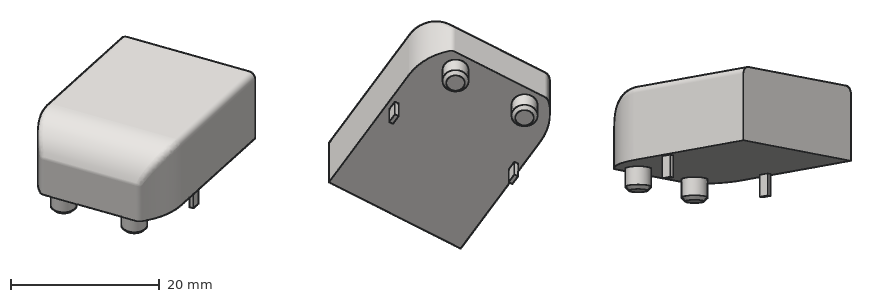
import cadquery as cq
import math

width = 20.8
length = 27.1
total_height = 13.2
pin_length = 3.0
body_height = total_height - pin_length
nose_length = 6.5
top_curve_radius = 6.95
side_curve_radius = 8.73
edge_radius = 1.0

peg_diameter = 3.52
peg_offset = 5.45
peg_setback = 2.55
peg_chamfer = 0.51

blade_thickness = 0.6
blade_width = 1.5
blade_offset = 9.43
blade_setback = 11.92

front_y = -length / 2
back_y = length / 2
nose_y = front_y + nose_length


def arc_drop(radius, distance):
    """How far an arc falls away from its tangent after a distance along it."""
    return radius - math.sqrt(radius**2 - distance**2)


def plan_block():
    """Housing outline from above: straight sides that curve in to a flat front."""
    side_x = width / 2
    front_x = side_x - arc_drop(side_curve_radius, nose_length)
    middle_y = nose_y - nose_length / 2
    middle_x = side_x - arc_drop(side_curve_radius, nose_length / 2)
    return (
        cq.Workplane("XY")
        .moveTo(-side_x, back_y)
        .lineTo(-side_x, nose_y)
        .threePointArc((-middle_x, middle_y), (-front_x, front_y))
        .lineTo(front_x, front_y)
        .threePointArc((middle_x, middle_y), (side_x, nose_y))
        .lineTo(side_x, back_y)
        .close()
        .extrude(body_height)
    )


def profile_block():
    """Housing outline from the side: flat top that curves down to the front."""
    front_z = body_height - arc_drop(top_curve_radius, nose_length)
    middle_y = nose_y - nose_length / 2
    middle_z = body_height - arc_drop(top_curve_radius, nose_length / 2)
    return (
        cq.Workplane("YZ")
        .moveTo(back_y, 0)
        .lineTo(back_y, body_height)
        .lineTo(nose_y, body_height)
        .threePointArc((middle_y, middle_z), (front_y, front_z))
        .lineTo(front_y, 0)
        .close()
        .extrude(width / 2, both=True)
    )


def housing():
    """Block shared by both outlines, rounded except around the base and back."""
    block = plan_block().intersect(profile_block())
    front_edges = block.faces("<Y").edges("not <Z")
    top_side_edges = block.faces(">Z").edges("|Y")
    return front_edges.add(top_side_edges).fillet(edge_radius)


def peg(x):
    """Round peg under the housing with a chamfered tip."""
    return (
        cq.Workplane("XY")
        .center(x, front_y + peg_setback)
        .circle(peg_diameter / 2)
        .extrude(-pin_length)
        .faces("<Z")
        .chamfer(peg_chamfer)
    )


def blade(x):
    """Flat rectangular contact under the housing."""
    return (
        cq.Workplane("XY")
        .center(x, front_y + blade_setback)
        .rect(blade_thickness, blade_width)
        .extrude(-pin_length)
    )


result = housing()
for side in (-1, 1):
    result = result.union(peg(side * peg_offset)).union(blade(side * blade_offset))